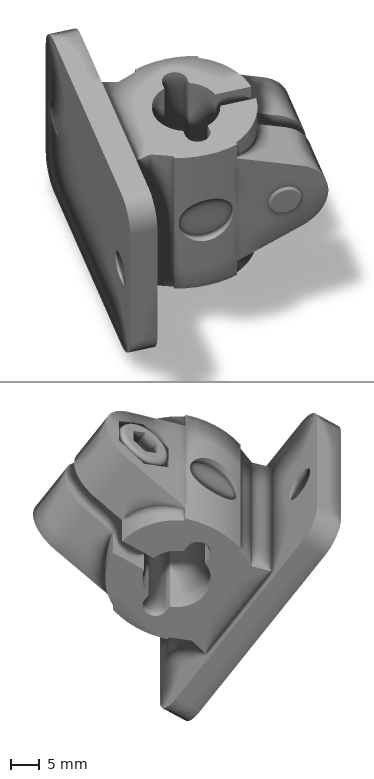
import cadquery as cq
import math

plate_width = 50
plate_thickness = 5
plate_height = 37
plate_corner_radius = 5
mount_slot_length = 6.5
mount_slot_width = 5.5
mount_slot_spacing = 39

hub_y = 18
hub_radius = 12.5
hub_height = 32
bore_radius = 6
side_slot_span = 18
side_slot_width = 4.5
slit_width = 3

pad_half_length = 5.75
pad_edge_x = 11.6
pad_crown_x = 12.55
pocket_diameter = 10
pocket_depth = 1.5

waist_half_width = 9.5
waist_y = 8.5
neck_half_width = 10.5

ear_half_span = pad_edge_x
ear_radius = 8
bolt_y = 32.5
ear_root_y = hub_y + pad_half_length
ear_root_half_height = 12.6

shank_diameter = 6
head_diameter = 10
head_edge_radius = 1
bolt_protrusion = 0.5
tip_chamfer = 0.3
head_recess_flats = 10.5
head_recess_depth = 1.5
socket_flats = 5
socket_depth = 3


def x_plane(x, y):
    """Plane facing +X whose local axes are Y and Z."""
    return cq.Workplane("YZ", origin=(x, y, 0))


def hexagon(x, y, flats, depth):
    """Hexagonal prism running toward +X, with two corners on its Z line."""
    corner_diameter = flats / math.cos(math.pi / 6)
    prism = x_plane(x, y).polygon(6, corner_diameter).extrude(depth)
    return prism.rotate((x, y, 0), (x + 0.5, y, 0), 90)


def make_plate():
    plate = (
        cq.Workplane("XY")
        .box(plate_width, plate_thickness, plate_height)
        .edges("|Y")
        .fillet(plate_corner_radius)
        .translate((0, plate_thickness / 2, 0))
    )
    slots = (
        cq.Workplane("XZ")
        .pushPoints([(-mount_slot_spacing / 2, 0), (mount_slot_spacing / 2, 0)])
        .slot2D(mount_slot_length, mount_slot_width)
        .extrude(-plate_thickness)
    )
    return plate.cut(slots)


def make_hub():
    pad_front = hub_y - pad_half_length
    pad_back = hub_y + pad_half_length
    hub_side_x = math.sqrt(hub_radius**2 - pad_half_length**2)
    return (
        cq.Workplane("XY", origin=(0, 0, -hub_height / 2))
        .moveTo(-neck_half_width, plate_thickness)
        .lineTo(neck_half_width, plate_thickness)
        .lineTo(waist_half_width, waist_y)
        .lineTo(hub_side_x, pad_front)
        .lineTo(pad_edge_x, pad_front)
        .threePointArc((pad_crown_x, hub_y), (pad_edge_x, pad_back))
        .lineTo(hub_side_x, pad_back)
        .threePointArc((0, hub_y + hub_radius), (-hub_side_x, pad_back))
        .lineTo(-pad_edge_x, pad_back)
        .threePointArc((-pad_crown_x, hub_y), (-pad_edge_x, pad_front))
        .lineTo(-hub_side_x, pad_front)
        .lineTo(-waist_half_width, waist_y)
        .close()
        .extrude(hub_height)
    )


def make_ears():
    root_offset = bolt_y - ear_root_y
    root_distance = math.hypot(root_offset, ear_root_half_height)
    root_angle = math.atan2(ear_root_half_height, -root_offset)
    tangent_angle = root_angle - math.acos(ear_radius / root_distance)
    tangent_y = ear_radius * math.cos(tangent_angle)
    tangent_z = ear_radius * math.sin(tangent_angle)
    return (
        x_plane(-ear_half_span, bolt_y)
        .moveTo(-root_offset, -ear_root_half_height)
        .lineTo(tangent_y, -tangent_z)
        .threePointArc((ear_radius, 0), (tangent_y, tangent_z))
        .lineTo(-root_offset, ear_root_half_height)
        .close()
        .extrude(2 * ear_half_span)
    )


def make_openings():
    """Keyed bore, clamping slit and the round pockets in both side pads."""
    bore = cq.Workplane("XY").circle(bore_radius).extrude(hub_height / 2, both=True)
    key_slots = (
        cq.Workplane("XY")
        .slot2D(side_slot_span, side_slot_width)
        .extrude(hub_height / 2, both=True)
    )
    slit_length = bolt_y + ear_radius - hub_y
    slit = cq.Workplane("XY").box(slit_width, slit_length, hub_height)
    openings = bore.union(key_slots).union(slit.translate((0, slit_length / 2, 0)))
    openings = openings.translate((0, hub_y, 0))
    for start_x in (-pad_crown_x, pad_crown_x - pocket_depth):
        pocket = x_plane(start_x, hub_y).circle(pocket_diameter / 2).extrude(pocket_depth)
        openings = openings.union(pocket)
    return openings


def make_bolt():
    head_x = -ear_half_span - bolt_protrusion
    tip_x = ear_half_span + bolt_protrusion
    head_height = head_recess_depth + bolt_protrusion
    head = (
        x_plane(head_x, bolt_y)
        .circle(head_diameter / 2)
        .extrude(head_height)
        .faces("<X")
        .edges()
        .fillet(head_edge_radius)
    )
    shank_start = head_x + head_height
    shank = (
        x_plane(shank_start, bolt_y)
        .circle(shank_diameter / 2)
        .extrude(tip_x - shank_start)
        .faces(">X")
        .edges()
        .chamfer(tip_chamfer)
    )
    return head.union(shank).cut(hexagon(head_x, bolt_y, socket_flats, socket_depth))


head_recess = hexagon(-ear_half_span, bolt_y, head_recess_flats, head_recess_depth)
bolt_clearance = x_plane(-ear_half_span, bolt_y).circle(shank_diameter / 2).extrude(2 * ear_half_span)

clamp = make_hub().union(make_ears()).cut(make_openings())
clamp = clamp.cut(head_recess).cut(bolt_clearance)
result = make_plate().union(clamp).union(make_bolt())